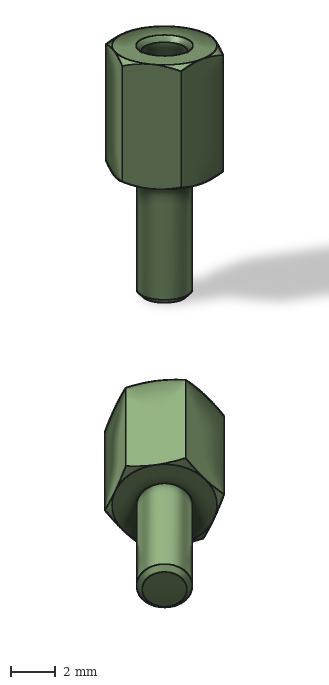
import cadquery as cq
import math

across_flats = 4.7
across_corners = across_flats / math.cos(math.radians(30))
body_height = 6.0
corner_chamfer_angle = 30.0

stud_diameter = 2.5
stud_length = 6.0
stud_tip_chamfer = 0.25

hole_diameter = 2.05
hole_depth = 5.0
countersink_diameter = 2.55
countersink_depth = (countersink_diameter - hole_diameter) / 2


def make_hex_body():
    """Hexagonal prism whose corners are turned down to a cone at both ends."""
    prism = cq.Workplane("XY").polygon(6, across_corners).extrude(body_height)
    face_radius = across_flats / 2
    corner_radius = across_corners / 2
    corner_drop = (corner_radius - face_radius) * math.tan(math.radians(corner_chamfer_angle))
    turned_envelope = (
        cq.Workplane("XZ")
        .moveTo(0, 0)
        .lineTo(face_radius, 0)
        .lineTo(corner_radius, corner_drop)
        .lineTo(corner_radius, body_height - corner_drop)
        .lineTo(face_radius, body_height)
        .lineTo(0, body_height)
        .close()
        .revolve(360, (0, 0, 0), (0, 1, 0))
    )
    return prism.intersect(turned_envelope)


def make_stud():
    """Plain cylindrical stud with a chamfered tip, hanging below the body."""
    stud = cq.Workplane("XY").circle(stud_diameter / 2).extrude(-stud_length)
    return stud.faces("<Z").chamfer(stud_tip_chamfer)


def make_hole():
    """Flat-bottomed hole with a 45 degree countersink at the top face."""
    hole_radius = hole_diameter / 2
    return (
        cq.Workplane("XZ")
        .moveTo(0, body_height)
        .lineTo(countersink_diameter / 2, body_height)
        .lineTo(hole_radius, body_height - countersink_depth)
        .lineTo(hole_radius, body_height - hole_depth)
        .lineTo(0, body_height - hole_depth)
        .close()
        .revolve(360, (0, 0, 0), (0, 1, 0))
    )


result = make_hex_body().union(make_stud()).cut(make_hole())